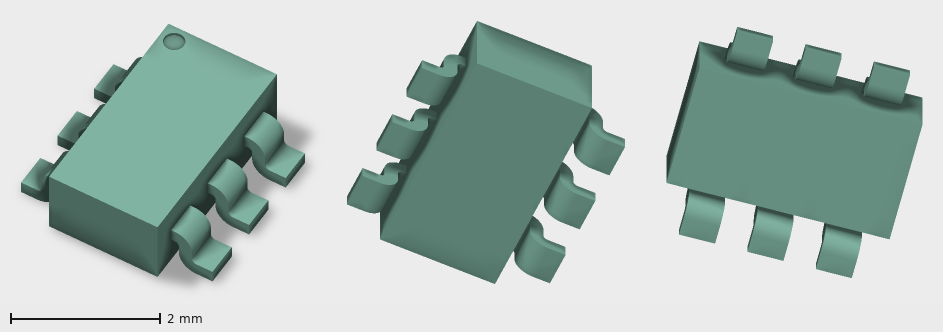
import cadquery as cq

OVERALL_X = 3.0
OVERALL_Z = 1.1

BODY_X = 1.7
BODY_Y = 3.1
STANDOFF = 0.05

LEAD_WIDTH = 0.5
LEAD_THICKNESS = 0.2
LEAD_PITCH = 0.95
LEADS_PER_SIDE = 3
LEAD_TOP = (OVERALL_Z + STANDOFF + LEAD_THICKNESS) / 2
INNER_BEND = LEAD_THICKNESS / 3
OUTER_BEND = INNER_BEND + LEAD_THICKNESS
SHANK_OUTER_X = (BODY_X + OVERALL_X) / 4
LEAD_EMBED = 0.1

MARK_DIAMETER = 0.3
MARK_INSET = 0.225
MARK_DEPTH = 0.05


def make_body():
    """Plain block, raised above the seating plane, with the pin 1 recess in its top."""
    height = OVERALL_Z - STANDOFF
    block = cq.Workplane("XY").workplane(offset=STANDOFF).rect(BODY_X, BODY_Y).extrude(height)
    mark = (
        cq.Workplane("XY")
        .workplane(offset=OVERALL_Z - MARK_DEPTH)
        .center(MARK_INSET - BODY_X / 2, BODY_Y / 2 - MARK_INSET)
        .circle(MARK_DIAMETER / 2)
        .extrude(MARK_DEPTH)
    )
    return block.cut(mark)


def make_lead():
    """One lead on the +X side, centred on Y = 0, resting on Z = 0."""
    root_x = BODY_X / 2 - LEAD_EMBED
    toe_x = OVERALL_X / 2
    shank_inner_x = SHANK_OUTER_X - LEAD_THICKNESS
    upper_bend_x = SHANK_OUTER_X - OUTER_BEND
    upper_bend_z = LEAD_TOP - OUTER_BEND
    foot_bend_x = shank_inner_x + OUTER_BEND
    foot_bend_z = OUTER_BEND
    profile = (
        cq.Workplane("XZ")
        .moveTo(root_x, LEAD_TOP)
        .lineTo(upper_bend_x, LEAD_TOP)
        .radiusArc((SHANK_OUTER_X, upper_bend_z), OUTER_BEND)
        .lineTo(SHANK_OUTER_X, foot_bend_z)
        .radiusArc((foot_bend_x, LEAD_THICKNESS), -INNER_BEND)
        .lineTo(toe_x, LEAD_THICKNESS)
        .lineTo(toe_x, 0)
        .lineTo(foot_bend_x, 0)
        .radiusArc((shank_inner_x, foot_bend_z), OUTER_BEND)
        .lineTo(shank_inner_x, upper_bend_z)
        .radiusArc((upper_bend_x, LEAD_TOP - LEAD_THICKNESS), -INNER_BEND)
        .lineTo(root_x, LEAD_TOP - LEAD_THICKNESS)
        .close()
    )
    return profile.extrude(LEAD_WIDTH / 2, both=True)


result = make_body()
right_lead = make_lead()
left_lead = right_lead.mirror("YZ")
for row in range(LEADS_PER_SIDE):
    row_y = (row - (LEADS_PER_SIDE - 1) / 2) * LEAD_PITCH
    for lead in (right_lead, left_lead):
        result = result.union(lead.translate((0, row_y, 0)))